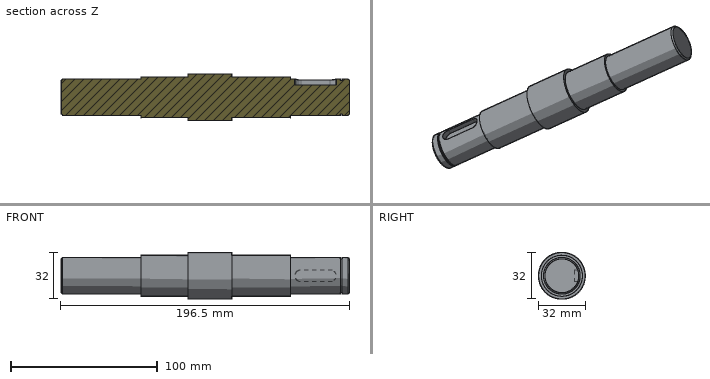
import cadquery as cq

TOTAL_LENGTH = 196.5
JOURNAL_DIAMETER = 25.0
SHOULDER_DIAMETER = 28.0
COLLAR_DIAMETER = 32.0
LEFT_JOURNAL_LENGTH = 54.3
LEFT_SHOULDER_LENGTH = 32.0
COLLAR_LENGTH = 30.0
RIGHT_JOURNAL_LENGTH = 40.2
RIGHT_SHOULDER_LENGTH = (
    TOTAL_LENGTH - LEFT_JOURNAL_LENGTH - LEFT_SHOULDER_LENGTH - COLLAR_LENGTH - RIGHT_JOURNAL_LENGTH
)
RIGHT_JOURNAL_START = TOTAL_LENGTH - RIGHT_JOURNAL_LENGTH

END_CHAMFER = 1.0

GROOVE_DIAMETER = 23.0
GROOVE_WIDTH = 1.2
GROOVE_END_DISTANCE = 5.0

KEYWAY_WIDTH = 8.0
KEYWAY_DEPTH = 4.0
KEYWAY_LENGTH = 28.0
KEYWAY_SHOULDER_GAP = 3.0


def cylinder_along_x(start, length, diameter):
    return cq.Workplane("YZ", origin=(start, 0, 0)).circle(diameter / 2).extrude(length)


def stepped_shaft():
    sections = [
        (LEFT_JOURNAL_LENGTH, JOURNAL_DIAMETER),
        (LEFT_SHOULDER_LENGTH, SHOULDER_DIAMETER),
        (COLLAR_LENGTH, COLLAR_DIAMETER),
        (RIGHT_SHOULDER_LENGTH, SHOULDER_DIAMETER),
        (RIGHT_JOURNAL_LENGTH, JOURNAL_DIAMETER),
    ]
    shaft = cq.Workplane("YZ")
    start = 0.0
    for length, diameter in sections:
        shaft = shaft.union(cylinder_along_x(start, length, diameter))
        start += length
    return shaft.faces("<X or >X").edges().chamfer(END_CHAMFER)


def ring_groove():
    start = TOTAL_LENGTH - GROOVE_END_DISTANCE - GROOVE_WIDTH
    outside = cylinder_along_x(start, GROOVE_WIDTH, COLLAR_DIAMETER)
    core = cylinder_along_x(start, GROOVE_WIDTH, GROOVE_DIAMETER)
    return outside.cut(core)


def keyway():
    center_x = RIGHT_JOURNAL_START + KEYWAY_SHOULDER_GAP + KEYWAY_LENGTH / 2
    floor_y = JOURNAL_DIAMETER / 2 - KEYWAY_DEPTH
    return (
        cq.Workplane("XZ", origin=(center_x, floor_y, 0))
        .slot2D(KEYWAY_LENGTH, KEYWAY_WIDTH)
        .extrude(-JOURNAL_DIAMETER / 2)
    )


result = stepped_shaft().cut(ring_groove()).cut(keyway())